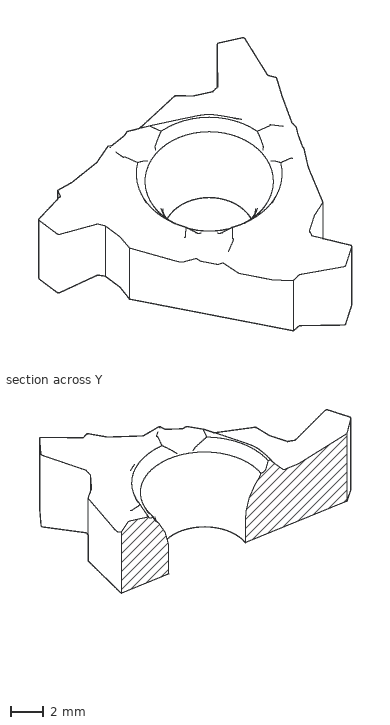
import cadquery as cq
import math

SIDES = 3
SIDE_ANGLE = 360.0 / SIDES
INSCRIBED_RADIUS = 6.35
FLAT_NORMAL_ANGLE = 180.0
THICKNESS = 5.84

TOOTH_CENTRE_X = -4.25
TOOTH_TIP_Y = -10.0
TOOTH_ROOT_Y = -6.98
TOOTH_TIP_WIDTH = 1.74
TOOTH_FLANK_ANGLE = 15.0
TOOTH_TIP_RADIUS = 0.15
ROOT_BEVEL_HEIGHT = 0.26
ROOT_BEVEL_LENGTH = 0.41
ROOT_BLEND_RADIUS = 0.1

RELIEF_START_X = -0.96
RELIEF_CORNER_X = 0.13
RELIEF_BLEND_RADIUS = 0.3

GROOVE_FLOOR_Z = 4.61
RAKE_VALLEY_Y = -5.72
RAKE_ANGLE = 15.0
WALL_FOOT_Y = -5.59
WALL_FOOT_BEND_X = -1.05
WALL_FOOT_FLARE_ANGLE = 21.6
WALL_CREST_Y = -4.72
WALL_CREST_BEND_X = -1.3
WALL_CREST_FLARE_ANGLE = 30.0
BEND_LENGTH = 0.5
WALL_SPAN = 3.3
WALL_SEGMENTS = 16
WALL_FILLET_RADIUS = 0.14
VALLEY_FILLET_RADIUS = 0.4
CREST_FILLET_RADIUS = 0.08

SLOT_ANGLE = 194.0
SLOT_FLOOR_Z = 5.08
SLOT_FLOOR_WIDTH = 1.1
SLOT_WALL_SLOPE = 40.0
SLOT_FILLET_RADIUS = 0.28

BORE_RADIUS = 5.7 / 2
SEAT_BOTTOM_Z = 1.96
SEAT_RIM_RADIUS = 3.87
SEAT_RIM_Z = 4.78
RECESS_FLOOR_INNER_RADIUS = 3.99
RECESS_FLOOR_OUTER_RADIUS = 4.12
RECESS_WALL_FOOT_RADIUS = 4.33
RECESS_CORNER_HEIGHT = 0.12
RECESS_TOP_RADIUS = 4.53

CLEARANCE = 1.0
REACH = 15.0


def tan_deg(angle):
    return math.tan(math.radians(angle))


def rotate_point(point, angle):
    """Turn a plan point about the hole axis."""
    c = math.cos(math.radians(angle))
    s = math.sin(math.radians(angle))
    return (point[0] * c - point[1] * s, point[0] * s + point[1] * c)


def insert_body():
    """Prism with the full outline: flats, teeth and reliefs."""
    tip_half = TOOTH_TIP_WIDTH / 2
    flank_top_y = TOOTH_ROOT_Y - ROOT_BEVEL_HEIGHT
    root_half = tip_half + (flank_top_y - TOOTH_TIP_Y) * tan_deg(TOOTH_FLANK_ANGLE)
    left_root = (TOOTH_CENTRE_X - root_half, flank_top_y)
    left_tip = (TOOTH_CENTRE_X - tip_half, TOOTH_TIP_Y)
    right_tip = (TOOTH_CENTRE_X + tip_half, TOOTH_TIP_Y)
    right_root = (TOOTH_CENTRE_X + root_half, flank_top_y)
    bevel_end = (right_root[0] + ROOT_BEVEL_LENGTH, TOOTH_ROOT_Y)
    relief_start = (RELIEF_START_X, TOOTH_ROOT_Y)
    next_flat_angle = math.radians(FLAT_NORMAL_ANGLE + SIDE_ANGLE)
    relief_corner_reach = RELIEF_CORNER_X * math.cos(next_flat_angle)
    relief_corner_y = (INSCRIBED_RADIUS - relief_corner_reach) / math.sin(next_flat_angle)
    side_points = [
        (-INSCRIBED_RADIUS, TOOTH_ROOT_Y),
        left_root,
        left_tip,
        right_tip,
        right_root,
        bevel_end,
        relief_start,
        (RELIEF_CORNER_X, relief_corner_y),
    ]
    outline = [rotate_point(p, side * SIDE_ANGLE) for side in range(SIDES) for p in side_points]
    body = cq.Workplane("XY").polyline(outline).close().extrude(THICKNESS)

    rounded_corners = [
        (left_root, ROOT_BLEND_RADIUS),
        (left_tip, TOOTH_TIP_RADIUS),
        (right_tip, TOOTH_TIP_RADIUS),
        (right_root, ROOT_BLEND_RADIUS),
        (relief_start, RELIEF_BLEND_RADIUS),
    ]
    for side in range(SIDES):
        for corner, radius in rounded_corners:
            x, y = rotate_point(corner, side * SIDE_ANGLE)
            nearest = cq.selectors.NearestToPointSelector((x, y, THICKNESS / 2))
            body = body.edges("|Z").edges(nearest).fillet(radius)
    return body


def groove_section(z, wall_y, bend_x, flare_angle):
    """Closed plan section of the groove; its wall runs straight, then flares along a hyperbola."""
    flare_slope = tan_deg(flare_angle)

    def wall_point(t):
        x = bend_x + BEND_LENGTH * math.sinh(t)
        y = wall_y + flare_slope * BEND_LENGTH / 2 * math.exp(-t)
        return (x, y)

    step = 2 * WALL_SPAN / WALL_SEGMENTS
    wall_points = [wall_point(WALL_SPAN - i * step) for i in range(WALL_SEGMENTS + 1)]
    right_x = wall_points[0][0]
    left_x = wall_points[-1][0]
    return (
        cq.Workplane("XY", origin=(0, 0, z))
        .moveTo(right_x, -REACH)
        .lineTo(*wall_points[0])
        .spline(wall_points[1:], includeCurrent=True)
        .lineTo(left_x, -REACH)
        .close()
        .wire()
        .val()
    )


def rake_groove():
    """Cutter for one groove, leaving the sloping rake face on the tooth."""
    foot = groove_section(GROOVE_FLOOR_Z, WALL_FOOT_Y, WALL_FOOT_BEND_X, WALL_FOOT_FLARE_ANGLE)
    crest = groove_section(THICKNESS, WALL_CREST_Y, WALL_CREST_BEND_X, WALL_CREST_FLARE_ANGLE)
    groove = cq.Workplane(cq.Solid.makeLoft([foot, crest], True))
    groove = groove.faces("<Z").edges(">Y").fillet(WALL_FILLET_RADIUS)

    rake_length = REACH + RAKE_VALLEY_Y
    tooth_material = (
        cq.Workplane("YZ", origin=(-REACH, 0, 0))
        .moveTo(RAKE_VALLEY_Y, GROOVE_FLOOR_Z)
        .lineTo(-REACH, GROOVE_FLOOR_Z)
        .lineTo(-REACH, GROOVE_FLOOR_Z + rake_length * tan_deg(RAKE_ANGLE))
        .close()
        .extrude(2 * REACH)
    )
    groove = groove.cut(tooth_material)
    return groove.faces("<Z").edges("<Y").fillet(VALLEY_FILLET_RADIUS)


def radial_slot():
    """Cutter for one slot with sloping walls, running outwards from the hole axis."""
    half_floor = SLOT_FLOOR_WIDTH / 2
    depth = THICKNESS + CLEARANCE - SLOT_FLOOR_Z
    half_top = half_floor + depth / tan_deg(SLOT_WALL_SLOPE)
    slot = (
        cq.Workplane("YZ")
        .polyline([
            (-half_floor, SLOT_FLOOR_Z),
            (half_floor, SLOT_FLOOR_Z),
            (half_top, THICKNESS + CLEARANCE),
            (-half_top, THICKNESS + CLEARANCE),
        ])
        .close()
        .extrude(REACH)
        .faces("<Z").edges("|X").fillet(SLOT_FILLET_RADIUS)
    )
    return slot.rotate((0, 0, 0), (0, 0, 1), SLOT_ANGLE)


def screw_hole():
    """Cutter for the bore, the flared seat and the recess."""
    rise = SEAT_RIM_Z - SEAT_BOTTOM_Z
    flare = SEAT_RIM_RADIUS - BORE_RADIUS
    arc_radius = (rise ** 2 + flare ** 2) / (2 * flare)
    half_sweep = math.asin(rise / arc_radius) / 2
    seat_middle = (BORE_RADIUS + arc_radius * (1 - math.cos(half_sweep)),
                   SEAT_BOTTOM_Z + arc_radius * math.sin(half_sweep))
    return (
        cq.Workplane("XZ")
        .lineTo(BORE_RADIUS, 0)
        .lineTo(BORE_RADIUS, SEAT_BOTTOM_Z)
        .threePointArc(seat_middle, (SEAT_RIM_RADIUS, SEAT_RIM_Z))
        .lineTo(RECESS_FLOOR_INNER_RADIUS, SLOT_FLOOR_Z)
        .lineTo(RECESS_FLOOR_OUTER_RADIUS, SLOT_FLOOR_Z)
        .tangentArcPoint((RECESS_WALL_FOOT_RADIUS, SLOT_FLOOR_Z + RECESS_CORNER_HEIGHT), relative=False)
        .lineTo(RECESS_TOP_RADIUS, THICKNESS)
        .lineTo(0, THICKNESS)
        .close()
        .revolve(360, (0, 0, 0), (0, 1, 0))
    )


def is_on_rim(edge):
    """Tell whether an edge lies entirely above the slot floors."""
    return min(edge.startPoint().z, edge.endPoint().z) > SLOT_FLOOR_Z + RECESS_CORNER_HEIGHT


def round_groove_crests(part):
    """Round the upper rim of each chip breaker wall, along the top land and both slots."""
    rim_edges = [
        edge
        for edge in part.edges("not |Z").vals()
        if edge.geomType() == "BSPLINE" and is_on_rim(edge)
    ]
    return part.newObject(rim_edges).fillet(CREST_FILLET_RADIUS)


def insert():
    """The finished insert."""
    part = insert_body().cut(screw_hole())
    for side in range(SIDES):
        for cutter in (rake_groove(), radial_slot()):
            part = part.cut(cutter.rotate((0, 0, 0), (0, 0, 1), side * SIDE_ANGLE))
    return round_groove_crests(part)


result = insert()